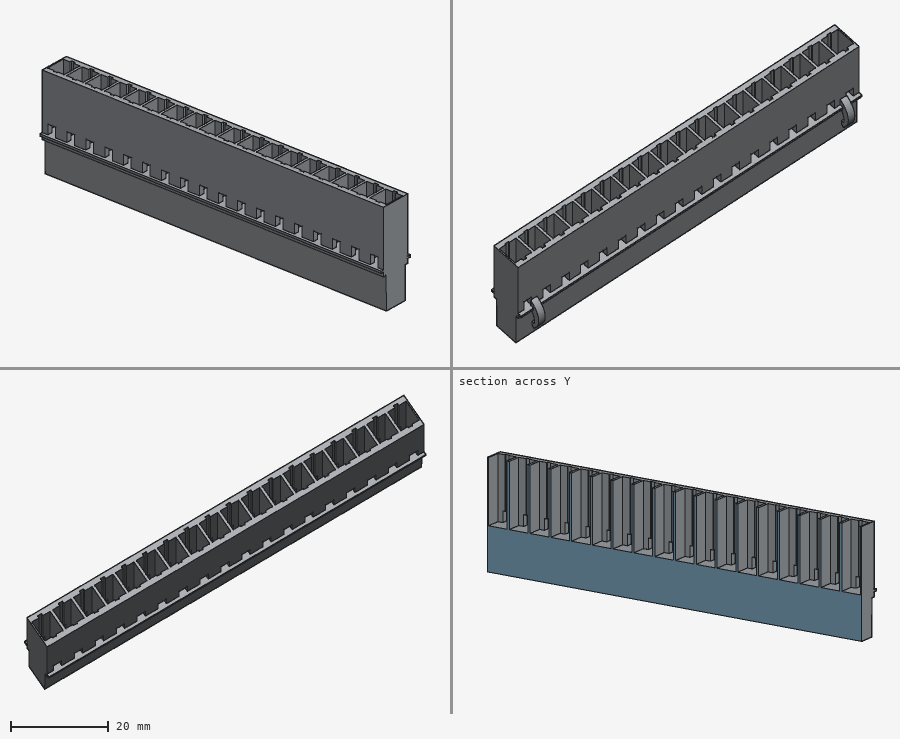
import cadquery as cq

length = 91.4
height = 24.5
pole_count = 18
pitch = length / pole_count

foot_front = 1.6
foot_back = 7.7
body_front = 0.7
body_back = 8.4
flange_back = 9.3
shoulder_z = 8.3
flange_bottom = 9.4
flange_top = 10.0
foot_taper = 0.1

wall_between = 0.6
pocket_width = pitch - wall_between
pocket_front = 2.1
pocket_back = 7.0
key_width = 0.9
front_key_depth = 0.3
back_key_depth = 0.55

window_width = 2.0
window_height = 2.5

hook_inset = 4.2
hook_width = 1.7
hook_back = 11.0
hook_top = 11.6
hook_bend_z = 7.5
hook_tip_y = 9.4
hook_tip_z = 3.7
hook_lip_y = 8.9
hook_lip_bottom = 4.1
hook_lip_top = 5.3
hook_inner_y = 9.6
hook_inner_bend_z = 6.5
hook_inner_end_y = 9.5
hook_root_y = 9.0


def block(x_center, x_size, y_front, y_back, z_bottom, z_top):
    """Box centred on x_center in X, given by its limits in Y and Z."""
    box = cq.Workplane("XY").box(x_size, y_back - y_front, z_top - z_bottom, centered=(True, False, False))
    return box.translate((x_center, y_front, z_bottom))


def make_housing():
    """Stepped housing section with its two flanges, run along the full length."""
    section = [
        (foot_front + foot_taper, 0),
        (foot_back, 0),
        (foot_back, shoulder_z),
        (body_back, shoulder_z),
        (body_back, flange_bottom),
        (flange_back, flange_bottom),
        (flange_back, flange_top),
        (body_back, flange_top),
        (body_back, height),
        (body_front, height),
        (body_front, flange_top),
        (0, flange_top),
        (0, flange_bottom),
        (body_front, flange_bottom),
        (body_front, shoulder_z),
        (foot_front, shoulder_z),
    ]
    return cq.Workplane("YZ").polyline(section).close().extrude(length)


def make_pole_cut(x_center):
    """Pocket with a key groove in each long wall, and its through window."""
    pocket = block(x_center, pocket_width, pocket_front, pocket_back, flange_top, height)
    key_front = pocket_front - front_key_depth
    key_back = pocket_back + back_key_depth
    keys = block(x_center, key_width, key_front, key_back, flange_top, height)
    window = block(x_center, window_width, body_front, body_back, flange_top, flange_top + window_height)
    return pocket.union(keys).union(window)


def make_hook(x_center):
    """Curved hook that springs from the back wall and hangs down behind the foot."""
    hook = (
        cq.Workplane("YZ", origin=(x_center - hook_width / 2, 0, 0))
        .moveTo(body_back, hook_top)
        .threePointArc((hook_back, hook_bend_z), (hook_tip_y, hook_tip_z))
        .lineTo(hook_lip_y, hook_lip_bottom)
        .lineTo(hook_lip_y, hook_lip_top)
        .lineTo(hook_inner_end_y, hook_lip_top)
        .threePointArc((hook_inner_y, hook_inner_bend_z), (hook_root_y, shoulder_z))
        .lineTo(body_back, shoulder_z)
        .close()
        .extrude(hook_width)
    )
    return hook


result = make_housing()
for pole in range(pole_count):
    result = result.cut(make_pole_cut((pole + 0.5) * pitch))
for hook_x in (hook_inset, length - hook_inset):
    result = result.union(make_hook(hook_x))